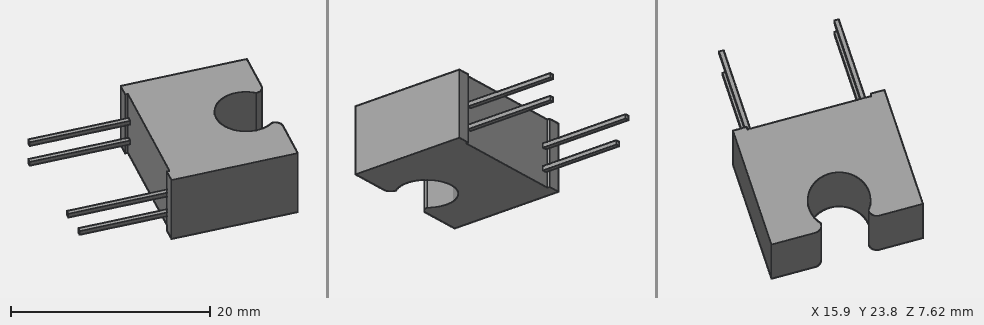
import cadquery as cq
import math

body_width = 15.9
body_depth = 13.4
body_height = 7.62
total_length = 23.75

lip_width = 1.45
recess_depth = 0.28

pin_size = 0.5
pin_spacing_x = 12.06
pin_spacing_z = 2.55
pin_row_z = -0.65
short_pin_reduction = 1.19

notch_radius = 3.15
notch_center_depth = 2.8
mouth_width = 4.99

back_y = total_length / 2
front_y = back_y - body_depth
recess_y = front_y + recess_depth
pin_tip_y = -total_length / 2
notch_y = back_y - notch_center_depth


def make_body():
    body = cq.Workplane("XY").box(body_width, body_depth, body_height)
    body = body.translate((0, back_y - body_depth / 2, 0))
    recess = cq.Workplane("XY").box(body_width - 2 * lip_width, recess_depth, body_height)
    return body.cut(recess.translate((0, front_y + recess_depth / 2, 0)))


def make_notch():
    """Full-height cutter: a circle whose mouth flares out to the back face in two quarter arcs."""
    corner_x = mouth_width / 2
    corner_y = notch_y + math.sqrt(notch_radius**2 - corner_x**2)
    mouth_radius = back_y - corner_y
    arc_center_x = corner_x + mouth_radius
    arc_mid_x = arc_center_x - mouth_radius * math.cos(math.pi / 4)
    arc_mid_y = corner_y + mouth_radius * math.sin(math.pi / 4)
    return (
        cq.Workplane("XY", origin=(0, 0, -body_height / 2))
        .moveTo(-arc_center_x, back_y)
        .threePointArc((-arc_mid_x, arc_mid_y), (-corner_x, corner_y))
        .threePointArc((0, notch_y - notch_radius), (corner_x, corner_y))
        .threePointArc((arc_mid_x, arc_mid_y), (arc_center_x, back_y))
        .close()
        .extrude(body_height)
    )


def make_pin(side, level, length):
    """Pin on the given side (-1 or 1) and level (-1 lower, 1 upper)."""
    pin_x = side * pin_spacing_x / 2
    pin_z = pin_row_z + level * pin_spacing_z / 2
    return (
        cq.Workplane("XZ", origin=(pin_x, recess_y, pin_z))
        .rect(pin_size, pin_size)
        .extrude(length)
    )


result = make_body().cut(make_notch())
pin_length = recess_y - pin_tip_y
for side in (-1, 1):
    for level in (-1, 1):
        is_short = side == 1 and level == -1
        length = pin_length - short_pin_reduction if is_short else pin_length
        result = result.union(make_pin(side, level, length))